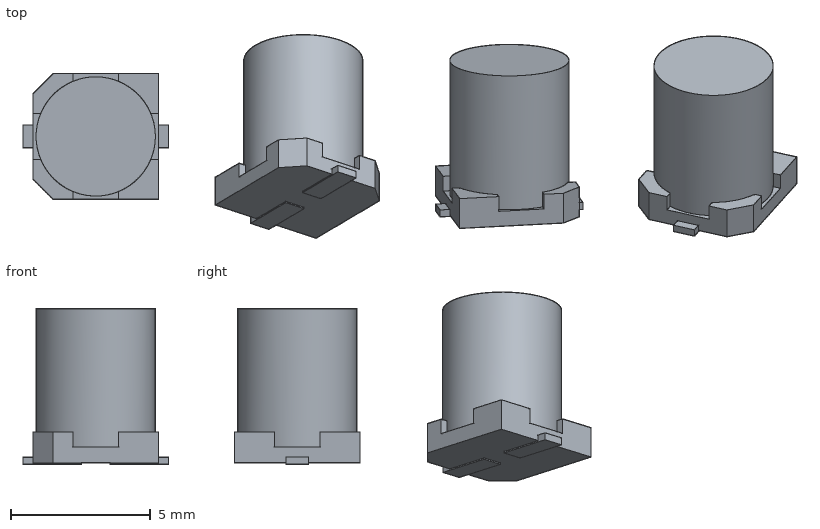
import cadquery as cq

TOTAL_HEIGHT = 5.57
LEAD_SPAN = 5.21

BASE_SIDE = 4.5
BASE_BOTTOM = 0.05
BASE_TOP = 1.16
CORNER_CHAMFER = 0.725
NOTCH_WIDTH = 1.645
NOTCH_FLOOR = 0.61

CAN_DIAMETER = 4.265

LEAD_WIDTH = 0.82
LEAD_THICKNESS = 0.26
LEAD_GAP = 1.0
LEAD_LENGTH = (LEAD_SPAN - LEAD_GAP) / 2
LEAD_CENTER_X = (LEAD_SPAN + LEAD_GAP) / 4


def make_can():
    """Plain cylinder from the notch floor to the top of the part."""
    return (
        cq.Workplane("XY")
        .workplane(offset=NOTCH_FLOOR)
        .circle(CAN_DIAMETER / 2)
        .extrude(TOTAL_HEIGHT - NOTCH_FLOOR)
    )


def make_lead(side):
    """Flat bar on the -X side (side = -1) or the +X side (side = 1)."""
    return (
        cq.Workplane("XY")
        .center(side * LEAD_CENTER_X, 0)
        .rect(LEAD_LENGTH, LEAD_WIDTH)
        .extrude(LEAD_THICKNESS)
    )


def make_base(can, leads):
    """Base block with notched walls, a round seat for the can and a slot for each lead."""
    block = (
        cq.Workplane("XY")
        .workplane(offset=BASE_BOTTOM)
        .rect(BASE_SIDE, BASE_SIDE)
        .extrude(BASE_TOP - BASE_BOTTOM)
        .edges("|Z and <X")
        .chamfer(CORNER_CHAMFER)
    )
    channels = (
        cq.Workplane("XY")
        .workplane(offset=NOTCH_FLOOR)
        .rect(BASE_SIDE, NOTCH_WIDTH)
        .extrude(BASE_TOP - NOTCH_FLOOR)
        .union(
            cq.Workplane("XY")
            .workplane(offset=NOTCH_FLOOR)
            .rect(NOTCH_WIDTH, BASE_SIDE)
            .extrude(BASE_TOP - NOTCH_FLOOR)
        )
    )
    base = block.cut(channels).cut(can)
    for lead in leads:
        base = base.cut(lead)
    return base


can = make_can()
leads = [make_lead(side) for side in (-1, 1)]
base = make_base(can, leads)

result = cq.Compound.makeCompound([base.solids().val(), can.val(), *[lead.val() for lead in leads]])